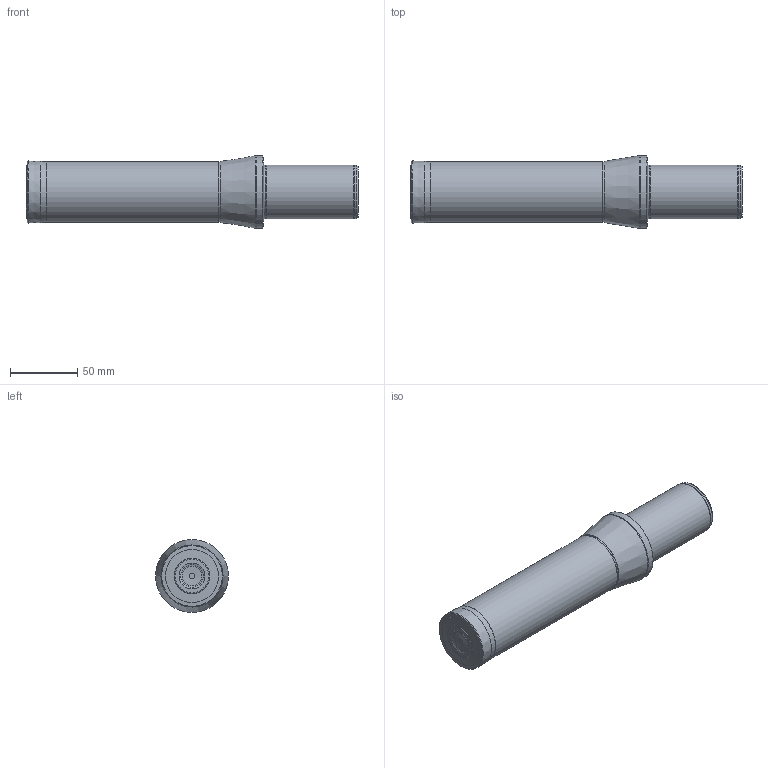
import cadquery as cq

overall_length = 245.99

head_length = 15.0
head_diameter = 46.0
head_rear_radius = 22.3
boss_radius = 13.2
boss_chamfer_width = 0.6
boss_height = 0.4
face_step_radius = 19.6
face_step_x = 0.65
face_step_depth = 0.1
face_edge_radius = 22.5
face_edge_x = 0.95
rim_x = 1.5
taper_break_x = 10.4
taper_break_radius = 22.8

recess_radius = 9.6
recess_mid_radius = 8.4
recess_mid_depth = 0.4
recess_floor_radius = 7.4
recess_floor_depth = 0.65
pilot_radius = 2.1
pilot_mouth_depth = 1.1
pilot_depth = 2.0

bar_radius = 45.0 / 2
relief_start = 142.6
relief_width = 1.3
relief_depth = 0.25
relief_end = relief_start + relief_width

collar_radius = 54.0 / 2
cone_end = 169.9
cone_end_radius = 26.95
cone_start_radius = 22.7
collar_start = 170.5
collar_rim_end = 175.5
collar_back = 176.1

shank_radius = 40.0 / 2
undercut_radius = 39.5 / 2
undercut_floor_end = 177.4
undercut_end = 178.0
rear_neck_start = 242.5
rear_neck_end = 243.1
rear_chamfer_start = 244.8
rear_face_radius = 19.0


def turned(half_profile):
    """Revolve a closed (x, radius) outline about the X axis."""
    return cq.Workplane("XY").polyline(half_profile).close().revolve(360, (0, 0, 0), (1, 0, 0))


def make_head():
    dished_face = [
        (head_length, 0),
        (pilot_depth, 0),
        (pilot_depth, pilot_radius),
        (pilot_mouth_depth, pilot_radius),
        (recess_floor_depth, recess_floor_radius),
        (recess_mid_depth, recess_mid_radius),
        (0, recess_radius),
    ]
    raised_boss = [
        (0, boss_radius - boss_chamfer_width),
        (boss_height, boss_radius),
    ]
    front_face = [
        (face_step_x, face_step_radius),
        (face_step_x + face_step_depth, face_step_radius),
        (face_edge_x, face_edge_radius),
    ]
    tapered_side = [
        (rim_x, head_diameter / 2),
        (taper_break_x, taper_break_radius),
        (head_length, head_rear_radius),
    ]
    return turned(dished_face + raised_boss + front_face + tapered_side)


def make_holder():
    bar = [
        (head_length, 0),
        (head_length, bar_radius),
        (relief_start, bar_radius),
        (relief_start, bar_radius - relief_depth),
        (relief_end, bar_radius - relief_depth),
        (relief_end, cone_start_radius),
    ]
    collar = [
        (cone_end, cone_end_radius),
        (collar_start, collar_radius),
        (collar_rim_end, collar_radius),
        (collar_back, undercut_radius),
    ]
    shank = [
        (undercut_floor_end, undercut_radius),
        (undercut_end, shank_radius),
        (rear_neck_start, shank_radius),
        (rear_neck_end, undercut_radius),
        (rear_chamfer_start, undercut_radius),
        (overall_length, rear_face_radius),
        (overall_length, 0),
    ]
    return turned(bar + collar + shank)


head = make_head()
holder = make_holder()

result = cq.Compound.makeCompound([head.val(), holder.val()])